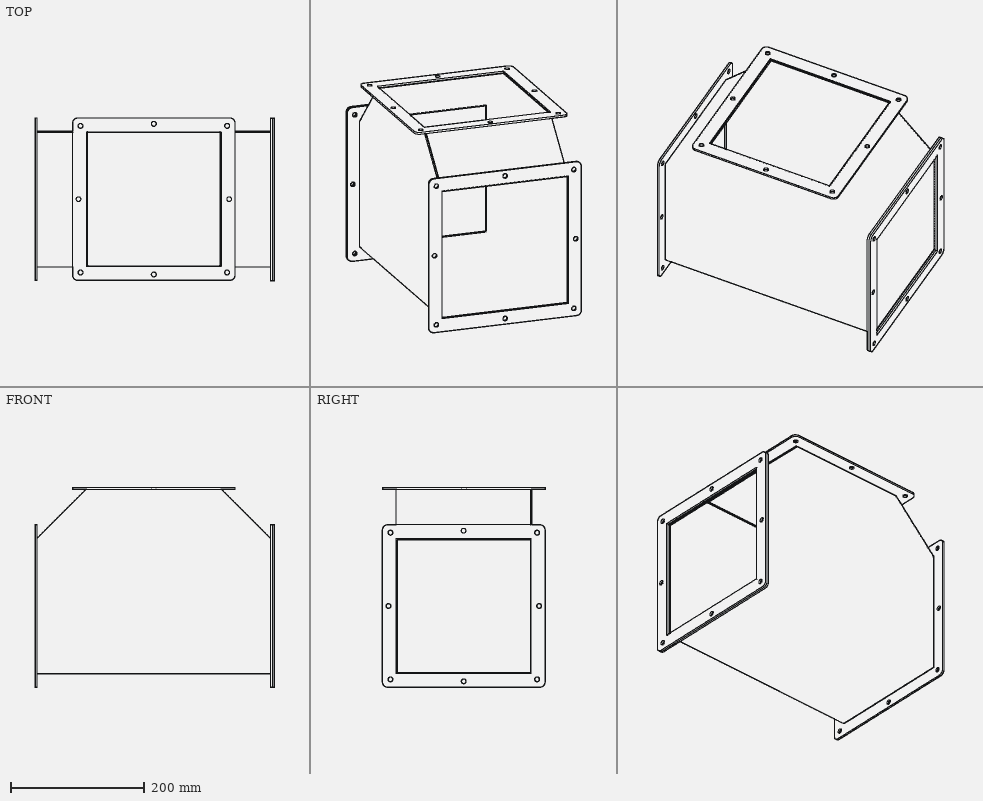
import cadquery as cq
import math

bore = 200.0
sheet = 2.0
bend_inner_radius = 1.0
bend_outer_radius = bend_inner_radius + sheet
reach = 175.0
overall_length = 358.77
seam_gap = 0.1
outer_half = bore / 2 + sheet
inner_half = bore / 2

flange_size = 244.0
flange_thickness = 3.0
flange_opening = 202.0
flange_corner_radius = 8.0
hole_diameter = 7.0
corner_hole_offset = 110.0
middle_hole_offset = 113.0
right_plate_count = 2
right_plate_shift = -0.55

right_end = overall_length - reach - (1 + right_plate_count) * flange_thickness


def profile_prism(inset, overrun, y_min, y_max):
    """Duct outline in XZ, walls moved in by inset and open ends moved out by overrun, extruded along Y."""
    half = outer_half - inset
    left = -reach - overrun
    right = right_end + overrun
    top = reach + overrun
    left_sum = reach + outer_half - inset * math.sqrt(2)
    right_sum = right_end + outer_half - inset * math.sqrt(2)
    points = [
        (left, -half),
        (right, -half),
        (right, right_sum - right),
        (right_sum - top, top),
        (top - left_sum, top),
        (left, left_sum + left),
    ]
    return cq.Workplane("XZ", origin=(0, y_max, 0)).polyline(points).close().extrude(y_max - y_min)


def round_bends(prism, radius):
    """Round the two floor bends and the bends from the front wall into the slants."""
    prism = prism.faces("<Z").edges("|X").fillet(radius)
    for side in (-1, 1):
        slant = cq.selectors.DirectionMinMaxSelector(cq.Vector(side, 0, 1), True)
        prism = prism.faces(slant).edges("<Y").fillet(radius)
    return prism


def make_joint_cutter():
    """Cuts the back wall level with the inner side of the slants and parts it from them by the seam."""
    joint_front = inner_half - seam_gap
    upper_back = cq.Workplane("XY", origin=(0, joint_front, 0)).box(
        overall_length, outer_half - joint_front, reach, centered=(True, False, False)
    )
    return upper_back.cut(profile_prism(sheet, sheet, joint_front, outer_half))


def make_duct():
    outside = round_bends(profile_prism(0, 0, -outer_half, outer_half), bend_outer_radius)
    inside = round_bends(profile_prism(sheet, sheet, -inner_half, inner_half), bend_inner_radius)
    return outside.cut(inside).cut(make_joint_cutter())


def make_flange(plane):
    """Square flange plate with eight holes, growing from the plane along its normal."""
    c = corner_hole_offset
    m = middle_hole_offset
    holes = [(c, c), (c, -c), (-c, c), (-c, -c), (m, 0), (-m, 0), (0, m), (0, -m)]
    return (
        cq.Workplane(plane)
        .rect(flange_size, flange_size)
        .extrude(flange_thickness)
        .edges(cq.selectors.ParallelDirSelector(plane.zDir))
        .fillet(flange_corner_radius)
        .cut(cq.Workplane(plane).rect(flange_opening, flange_opening).extrude(flange_thickness))
        .cut(cq.Workplane(plane).pushPoints(holes).circle(hole_diameter / 2).extrude(flange_thickness))
    )


duct = make_duct()
left_flange = make_flange(cq.Plane(origin=(-reach, 0, 0), xDir=(0, 1, 0), normal=(-1, 0, 0)))
top_flange = make_flange(cq.Plane(origin=(0, 0, reach), xDir=(1, 0, 0), normal=(0, 0, 1)))
right_plates = [
    make_flange(
        cq.Plane(
            origin=(right_end + i * flange_thickness, right_plate_shift, 0),
            xDir=(0, 1, 0),
            normal=(1, 0, 0),
        )
    )
    for i in range(right_plate_count)
]

result = cq.Compound.makeCompound(
    [duct.val(), left_flange.val(), top_flange.val(), *[plate.val() for plate in right_plates]]
)